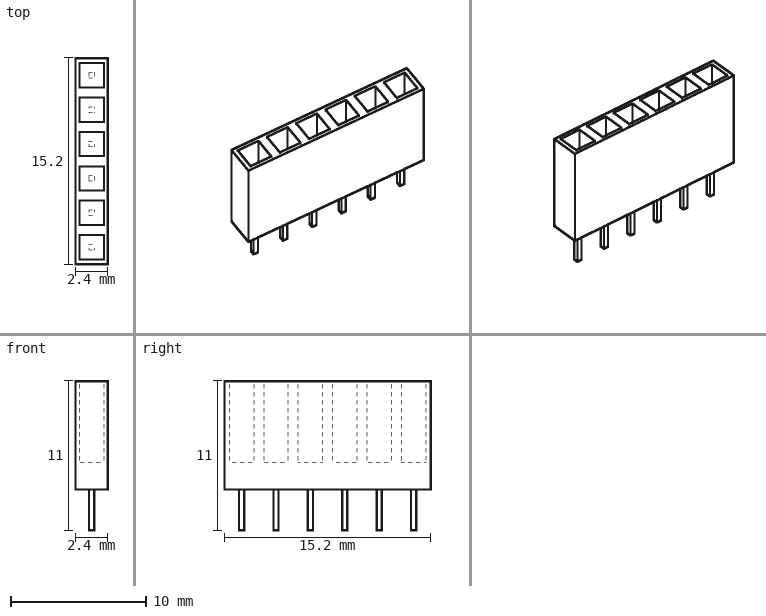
import cadquery as cq

cell_count = 6
strip_length = 15.24
strip_width = 2.4
total_height = 11.0
pitch = strip_length / cell_count

pin_length = 3.0
pin_side = 0.4

socket_side = 1.8
socket_depth = 6.0

body_height = total_height - pin_length
cell_centres = [(0, (i - (cell_count - 1) / 2) * pitch) for i in range(cell_count)]


def square_bars(side, bottom, height):
    """One upright square bar at the centre of every cell."""
    return (
        cq.Workplane("XY", origin=(0, 0, bottom))
        .pushPoints(cell_centres)
        .rect(side, side)
        .extrude(height)
    )


housing = cq.Workplane("XY").box(strip_width, strip_length, body_height, centered=(True, True, False))

sockets = square_bars(socket_side, body_height - socket_depth, socket_depth)
pins = square_bars(pin_side, -pin_length, pin_length)

result = housing.cut(sockets).union(pins)